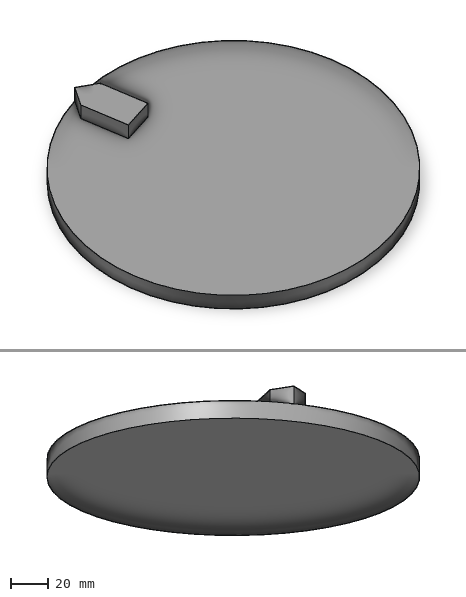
import cadquery as cq

disc_diameter = 200.0
disc_thickness = 10.0

pointer_length = 40.0
pointer_width = 20.0
pointer_height = 10.0
tip_length = 10.0

tip_x = -disc_diameter / 2
shoulder_x = tip_x + tip_length
back_x = tip_x + pointer_length
half_width = pointer_width / 2


def make_disc():
    return cq.Workplane("XY").circle(disc_diameter / 2).extrude(disc_thickness)


def make_pointer():
    outline = [
        (tip_x, 0),
        (shoulder_x, -half_width),
        (back_x, -half_width),
        (back_x, half_width),
        (shoulder_x, half_width),
    ]
    return (
        cq.Workplane("XY")
        .workplane(offset=disc_thickness)
        .polyline(outline)
        .close()
        .extrude(pointer_height)
    )


result = make_disc().union(make_pointer())